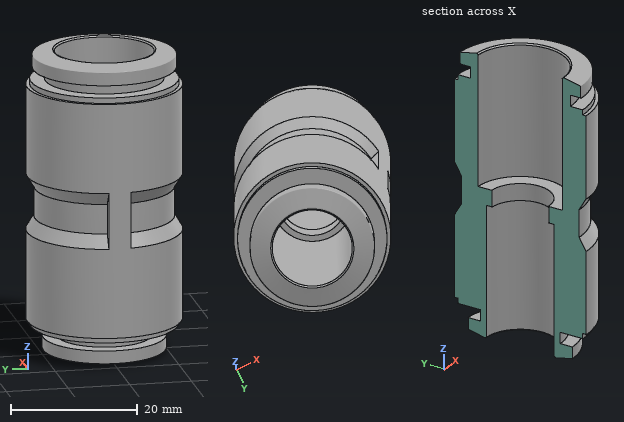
import cadquery as cq

total_height = 49.8
mid_height = total_height / 2
body_diameter = 25.0
body_half_height = 19.3
shoulder_diameter = 23.75
shoulder_half_height = 20.2

groove_diameter = 22.4
groove_half_width = 4.6
groove_floor_half_width = 2.43
rib_width = 3.6

flange_inner_offset = 22.1
flange_outer_offset = 24.25
collar_edge_radius = 0.15
lip_width = 0.45
bore_chamfer = 0.25

top_neck_diameter = 19.05
top_flange_diameter = 23.0
top_bore_diameter = 15.88

bottom_neck_diameter = 15.24
bottom_flange_diameter = 19.8
bottom_bore_diameter = 12.7

passage_diameter = 10.7
web_thickness = 3.0


def cylinder(diameter, bottom, top):
    """Cylinder on the Z axis between two heights."""
    return cq.Workplane("XY").workplane(offset=bottom).circle(diameter / 2).extrude(top - bottom)


def make_body():
    """Plain cylinder with a small shoulder at each end."""
    body = cylinder(body_diameter, -body_half_height, body_half_height)
    return body.union(cylinder(shoulder_diameter, -shoulder_half_height, shoulder_half_height))


def make_groove():
    """Trapezoidal ring groove, left uncut where the two ribs stand."""
    floor_radius = groove_diameter / 2
    rim_radius = body_diameter / 2
    clear_radius = body_diameter
    ring = (
        cq.Workplane("XZ")
        .moveTo(floor_radius, -groove_floor_half_width)
        .lineTo(rim_radius, -groove_half_width)
        .lineTo(clear_radius, -groove_half_width)
        .lineTo(clear_radius, groove_half_width)
        .lineTo(rim_radius, groove_half_width)
        .lineTo(floor_radius, groove_floor_half_width)
        .close()
        .revolve(360, (0, 0, 0), (0, 1, 0))
    )
    ribs = cq.Workplane("XY").box(2 * clear_radius, rib_width, 2 * groove_half_width)
    return ring.cut(ribs)


def make_collar(neck_diameter, flange_diameter, bore_diameter):
    """Solid collar pointing up: neck, flange with rounded edge, conical face and flat lip."""
    neck_radius = neck_diameter / 2
    flange_radius = flange_diameter / 2
    lip_radius = bore_diameter / 2 + lip_width
    collar = (
        cq.Workplane("XZ")
        .moveTo(0, 0)
        .lineTo(neck_radius, 0)
        .lineTo(neck_radius, flange_inner_offset)
        .lineTo(flange_radius, flange_inner_offset)
        .lineTo(flange_radius, flange_outer_offset)
        .lineTo(lip_radius, mid_height)
        .lineTo(0, mid_height)
        .close()
        .revolve(360, (0, 0, 0), (0, 1, 0))
    )
    flange_edge = cq.selectors.RadiusNthSelector(-1)
    return collar.edges("%CIRCLE").edges(flange_edge).edges(">Z").fillet(collar_edge_radius)


def make_bore(bore_diameter):
    """Tube bore from the web up to the end face, with a chamfered mouth."""
    bore = cylinder(bore_diameter, web_thickness / 2, mid_height)
    mouth = (
        cq.Workplane("XY")
        .workplane(offset=mid_height)
        .circle(bore_diameter / 2 + bore_chamfer)
        .workplane(offset=-bore_chamfer)
        .circle(bore_diameter / 2)
        .loft()
    )
    return bore.union(mouth)


def point_down(shape):
    """Turn an upward-pointing shape over about the X axis."""
    return shape.rotate((0, 0, 0), (1, 0, 0), 180)


top_collar = make_collar(top_neck_diameter, top_flange_diameter, top_bore_diameter)
bottom_collar = make_collar(bottom_neck_diameter, bottom_flange_diameter, bottom_bore_diameter)

result = (
    make_body()
    .cut(make_groove())
    .union(top_collar)
    .union(point_down(bottom_collar))
    .cut(make_bore(top_bore_diameter))
    .cut(point_down(make_bore(bottom_bore_diameter)))
    .cut(cylinder(passage_diameter, -mid_height, mid_height))
    .translate((0, 0, mid_height))
)